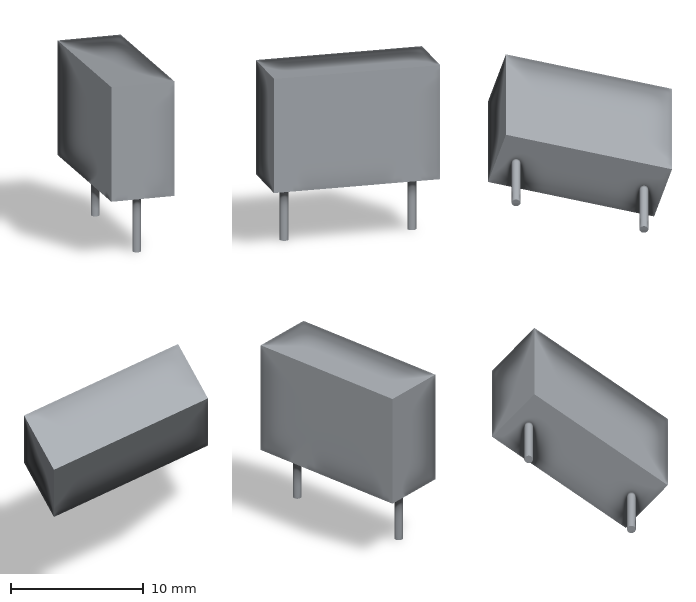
import cadquery as cq

total_height = 13.54

housing_length = 13.0
housing_width = 5.0
housing_height = 9.0

pin_diameter = 0.66
pin_spacing = 10.0
pin_length = total_height - housing_height


def make_housing():
    """Plain block standing on the XY plane, centred on the Z axis."""
    return cq.Workplane("XY").box(
        housing_length, housing_width, housing_height, centered=(True, True, False)
    )


def make_pin(x):
    """Lead that hangs from the underside of the housing at the given X."""
    return cq.Workplane("XY").center(x, 0).circle(pin_diameter / 2).extrude(-pin_length)


housing = make_housing()
pins = [make_pin(side * pin_spacing / 2) for side in (-1, 1)]

result = cq.Compound.makeCompound([housing.val(), *[pin.val() for pin in pins]])